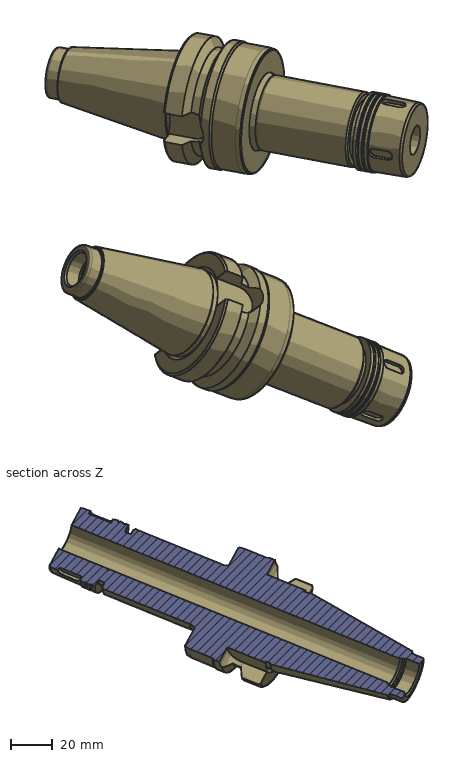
import cadquery as cq
import math


tail_x = -65.4
nose_x = 120.0
pilot_length = 7.2
flange_x = 2.0
flange_end_x = 27.0
shoulder_end_x = 42.0
body_start_x = 45.5
body_end_x = 92.0
collar_x = 95.0
collar_end_x = 102.8

gauge_diameter = 44.45
pilot_diameter = 25.0
taper_ratio = 7 / 24
relief_diameter = 43.5
undercut_diameter = 47.2
flange_diameter = 63.0
v_floor_diameter = 53.2
shoulder_diameter = 62.0
shoulder_end_diameter = 61.4
neck_start_diameter = 38.4
neck_end_diameter = 36.6
body_diameter = 37.0
nut_neck_diameter = 30.0
collar_diameter = 38.4
nut_base_diameter = 37.3
nut_tip_diameter = 36.6
bore_diameter = 14.25

pilot_fillet = 1.0
taper_chamfer = 0.5
undercut_depth = 1.0
flange_chamfer = 0.9
flange_step = 1.1
shoulder_relief = 3.0
shoulder_chamfer = 0.6
body_chamfer = 0.9
body_start_chamfer = 0.7
collar_chamfer = 0.4
nut_chamfer = 1.3
nut_chamfer_depth = 0.5

v_centre_x = 16.6
v_floor_width = 4.2
v_flank_angle = 30.0

drive_slot_count = 2
drive_slot_width = 16.0
drive_slot_floor = 22.5
drive_slot_end_x = 23.0

ring_groove_positions = (97.3, 100.1)
ring_groove_width = 1.2
ring_groove_depth = 0.6

wrench_slot_count = 4
wrench_slot_start_x = 103.3
wrench_slot_length = 11.7
wrench_slot_width = 4.8
wrench_slot_depth = 2.0

socket_mouth_diameter = 18.7
socket_diameter = 17.0
socket_chamfer = 0.9
socket_depth = 7.8
thread_entry_chamfer = 0.8
thread_diameter = 16.0
thread_depth = 9.6
thread_chamfer = 1.0


def revolve_about_x(points):
    """Revolve a closed (x, radius) outline about the X axis."""
    return cq.Workplane("XY").polyline(points).close().revolve(360, (0, 0, 0), (1, 0, 0))


def make_outer_body():
    taper_start_x = tail_x + pilot_length
    taper_start_radius = (gauge_diameter + taper_start_x * taper_ratio) / 2
    pilot_radius = pilot_diameter / 2
    flange_radius = flange_diameter / 2
    v_floor_radius = v_floor_diameter / 2
    v_run = (flange_radius - v_floor_radius) * math.tan(math.radians(v_flank_angle))
    v_left_x = v_centre_x - v_floor_width / 2
    v_right_x = v_centre_x + v_floor_width / 2
    shoulder_radius = shoulder_diameter / 2
    shoulder_end_radius = shoulder_end_diameter / 2
    body_radius = body_diameter / 2
    nut_tip_radius = nut_tip_diameter / 2
    points = [
        (tail_x, 0),
        (tail_x, pilot_radius),
        (taper_start_x - taper_chamfer, pilot_radius),
        (taper_start_x - taper_chamfer, taper_start_radius - taper_chamfer),
        (taper_start_x, taper_start_radius),
        (0, gauge_diameter / 2),
        (taper_chamfer, relief_diameter / 2),
        (flange_x + undercut_depth, relief_diameter / 2),
        (flange_x, undercut_diameter / 2),
        (flange_x, flange_radius - flange_chamfer),
        (flange_x + flange_chamfer, flange_radius),
        (v_left_x - v_run, flange_radius),
        (v_left_x, v_floor_radius),
        (v_right_x, v_floor_radius),
        (v_right_x + v_run, flange_radius),
        (flange_end_x - flange_step, flange_radius),
        (flange_end_x, shoulder_radius),
        (shoulder_end_x - shoulder_relief, shoulder_radius),
        (shoulder_end_x - shoulder_chamfer, shoulder_end_radius),
        (shoulder_end_x, shoulder_end_radius - shoulder_chamfer),
        (shoulder_end_x, neck_start_diameter / 2),
        (body_start_x - body_start_chamfer, neck_end_diameter / 2),
        (body_start_x, body_radius),
        (body_end_x - body_chamfer, body_radius),
        (body_end_x, body_radius - body_chamfer),
        (body_end_x, nut_neck_diameter / 2),
        (collar_x, nut_neck_diameter / 2),
        (collar_x, collar_diameter / 2),
        (collar_end_x - collar_chamfer, collar_diameter / 2),
        (collar_end_x, nut_base_diameter / 2),
        (nose_x - nut_chamfer, nut_tip_radius),
        (nose_x, nut_tip_radius - nut_chamfer_depth),
        (nose_x, 0),
    ]
    body = revolve_about_x(points)
    return body.faces("<X").edges().fillet(pilot_fillet)


def make_bore():
    mouth_radius = socket_mouth_diameter / 2
    socket_radius = socket_diameter / 2
    thread_radius = thread_diameter / 2
    bore_radius = bore_diameter / 2
    socket_end_x = tail_x + socket_depth
    thread_end_x = tail_x + thread_depth
    points = [
        (tail_x, 0),
        (tail_x, mouth_radius),
        (tail_x + socket_chamfer, socket_radius),
        (socket_end_x, socket_radius),
        (socket_end_x + thread_entry_chamfer, thread_radius),
        (thread_end_x, thread_radius),
        (thread_end_x + thread_chamfer, bore_radius),
        (nose_x, bore_radius),
        (nose_x, 0),
    ]
    return revolve_about_x(points)


def make_drive_slot():
    """Round-ended slot cutter for the -Y side of the flange, open towards the tail."""
    half_width = drive_slot_width / 2
    arc_centre_x = drive_slot_end_x - half_width
    return (
        cq.Workplane("XZ", origin=(0, -drive_slot_floor, 0))
        .moveTo(0, -half_width)
        .lineTo(arc_centre_x, -half_width)
        .threePointArc((drive_slot_end_x, 0), (arc_centre_x, half_width))
        .lineTo(0, half_width)
        .close()
        .extrude(flange_diameter / 2)
    )


def make_ring_groove(x):
    """V-shaped ring cutter centred at x on the nut collar."""
    collar_radius = collar_diameter / 2
    half_width = ring_groove_width / 2
    points = [
        (x - half_width, collar_radius),
        (x, collar_radius - ring_groove_depth),
        (x + half_width, collar_radius),
    ]
    return revolve_about_x(points)


def make_wrench_slot():
    """Round-ended pocket cutter for the +Z side of the nut."""
    centre_x = wrench_slot_start_x + wrench_slot_length / 2
    floor_z = nut_base_diameter / 2 - wrench_slot_depth
    return (
        cq.Workplane("XY", origin=(centre_x, 0, floor_z))
        .slot2D(wrench_slot_length, wrench_slot_width)
        .extrude(2 * wrench_slot_depth)
    )


def cut_around_axis(body, cutter, count):
    """Cut equally spaced copies of the cutter around the X axis."""
    for i in range(count):
        body = body.cut(cutter.rotate((0, 0, 0), (1, 0, 0), i * 360 / count))
    return body


result = make_outer_body().cut(make_bore())
result = cut_around_axis(result, make_drive_slot(), drive_slot_count)
for groove_x in ring_groove_positions:
    result = result.cut(make_ring_groove(groove_x))
result = cut_around_axis(result, make_wrench_slot(), wrench_slot_count)